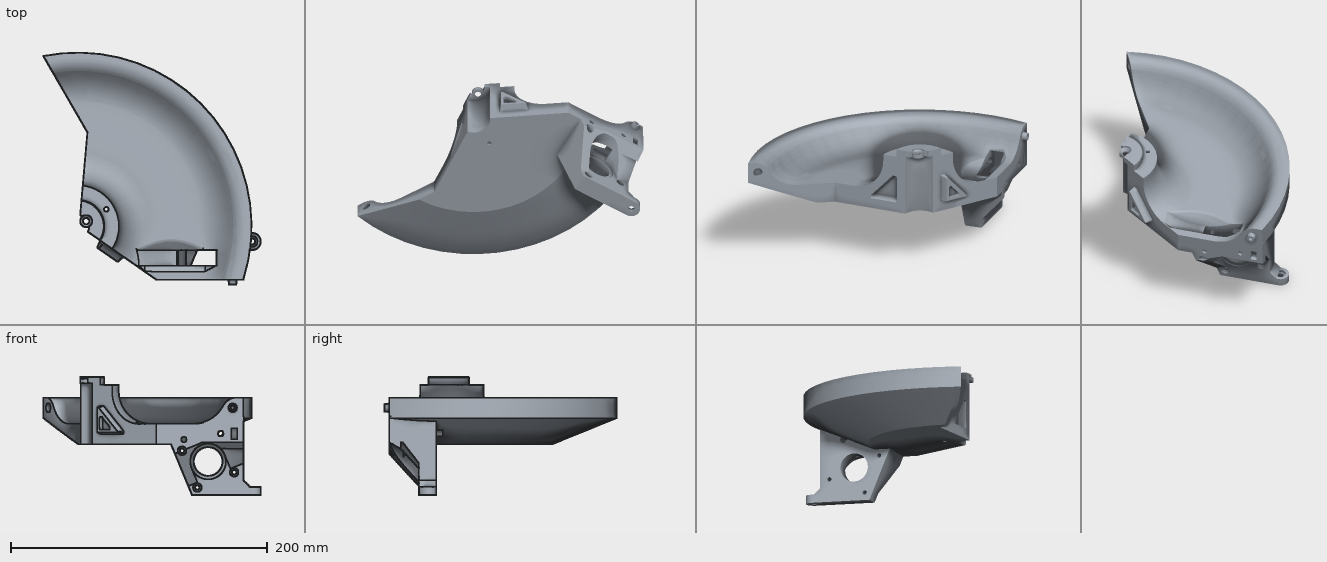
import math

import cadquery as cq

RIM_RADIUS = 135.3
RIM_HEIGHT = 36.5
RIM_WALL_BOTTOM = 20.5
BASE_RADIUS = 85.0
FLOOR_HEIGHT = 16.0
FLOOR_OUTER_RADIUS = 98.0
BOWL_FILLET = 25.0
WALL_ANGLE = math.radians(60)
LIP_FILLET = 11.0
HUB_RADIUS = 32.0
SHOULDER_HEIGHT = 46.3
HUB_TOP_RADIUS = 20.7
HUB_TOP_CHAMFER = 0.5
HUB_TOP_HEIGHT = 52.5

POCKET_FACE_ANGLE = 85.0
KEY_FACE_ANGLE = POCKET_FACE_ANGLE - 120
REAR_FACE_ANGLE = 120.0
FACE_CLEARANCE = 1.0
REAR_FACE_OFFSET = 43.0
FRONT_Y = -41.6
FAR = 400.0

BORE_RADIUS = 13.0
BORE_TOP = 47.6
OPENING_RADIUS = 8.8
SCREW_CENTRE = (6.5, 4.1)
SCREW_HEAD_RADIUS = 4.7
SCREW_HOLE_RADIUS = 2.4
SCREW_BOSS_TOP = 51.0
SHOULDER_HOLE_CENTRE = (22.2, 13.3)
SHOULDER_HOLE_RADIUS = 1.7

KEY_NEAR = 20.4
KEY_FAR = 42.8
KEY_BOTTOM = 8.1
KEY_TOP = 30.1
KEY_BLUNT_TOP = 3.5
KEY_BLUNT_FAR = 2.4
KEY_LENGTH = 5.9
KEY_DRAFT = 14.0
KEY_HOLLOW_NEAR = 24.0
KEY_HOLLOW_BOTTOM = 11.5
KEY_HOLLOW_SIZE = 12.0
KEY_HOLLOW_DEPTH = 4.5
KEY_HOLLOW_ROUNDING = 1.4
KEY_ROUNDING = 1.0

PIN_X = 120.5
PIN_Z = 28.5
PIN_RADIUS = 3.4
PIN_TIP_RADIUS = 2.9
PIN_LENGTH = 3.7
PIN_BORE_RADIUS = 1.5
SOCKET_CLEARANCE = 0.2
SOCKET_DEPTH = 4.5

BLOCK_BOTTOM = -39.5
BLOCK_BACK_Y = -4.9
PLATE_FRONT_Y = -18.5
BLOCK_RIGHT_X = 129.1
BLOCK_LEFT_OFFSET = 21.6
BLOCK_UPPER_Z = 22.0
LUG_RADIUS = 6.75
LUG_END_X = 142.4
LUG_TOP_Z = -33.0
LUG_CHAMFER = 5.0
LUG_HOLE_RADIUS = 2.3
LUG_SINK_RADIUS = 4.2
LUG_SINK_DEPTH = 2.0

MOTOR_X = 101.4
MOTOR_Z = -13.3
MOTOR_TILT = 22.5
MOTOR_HOLE_PITCH = 31.0
MOTOR_PILOT_RADIUS = 11.1
MOTOR_RECESS_RADIUS = 13.9
MOTOR_RECESS_DEPTH = 1.0
MOTOR_SCREW_RADIUS = 1.7
MOTOR_HEAD_RADIUS = 3.4
MOTOR_HEAD_SEAT_Y = -14.5
SLOPE_TOP = 15.5
SLOPE_BOTTOM = -11.8
UNDERCUT_Z = 1.5
UNDERCUT_LIP_Y = -32.5
UNDERCUT_LIP_Z = -3.5

WHEEL_X = 72.6
WHEEL_RADIUS = 46.0
WHEEL_BOTTOM = 8.6
SLOT_FRONT_Y = -30.5
SCOOP_BACK_Y = -8.0
SCOOP_EDGE_Y = -13.0
SCOOP_FILLET = 3.0
BEVEL_SECTIONS = [
    (47.0, 0.4, 15.8, 16.8),
    (52.0, 4.4, 12.2, 16.2),
    (59.2, 4.8, 11.2, 16.0),
    (91.0, 4.8, 11.2, 16.0),
    (99.0, 4.6, 12.0, 16.2),
    (106.5, 0.6, 17.0, 18.8),
]
CHAMBER_LEFT_X = 77.0
CHAMBER_RIGHT_X = 107.8
CHAMBER_FLOOR = -3.2
OPENING_FRONT_X = 88.0
OPENING_BACK_X = 92.8
OPENING_BOTTOM = -10.5
ANNEX_RIGHT_X = 119.0
ANNEX_TOP = 18.2
WALL_SLOT_CENTRE = (105.5, 9.0)
WALL_SLOT_LENGTH = 15.0
WALL_SLOT_WIDTH = 5.0

PIVOT_HOLE = (82.5, 3.8)
CLAMP_HOLE = (111.3, 8.3)
FRONT_HOLE_RADIUS = 2.1
FRONT_HOLE_END_Y = -10.0
NUT_POCKET_CENTRE = (121.8, 8.3)
NUT_POCKET_WIDTH = 4.6
NUT_POCKET_HEIGHT = 8.6
NUT_POCKET_DEPTH = 6.0


def direction(angle):
    """Unit vector in plan at an angle in degrees."""
    return math.cos(math.radians(angle)), math.sin(math.radians(angle))


def crossing(angle_a, offset_a, angle_b, offset_b):
    """Crossing of two plan lines, each shifted to its right by an offset."""
    (ax, ay), (bx, by) = direction(angle_a), direction(angle_b)
    px, py = ay * offset_a, -ax * offset_a
    qx, qy = by * offset_b, -bx * offset_b
    along = ((qx - px) * by - (qy - py) * bx) / (ax * by - ay * bx)
    return px + along * ax, py + along * ay


def y_prism(outline, y_front, y_back):
    """Extrude a closed XZ sketch (built on the XZ plane) between two Y positions."""
    return outline.extrude(-(y_back - y_front)).translate((0, y_front, 0))


def y_cylinder(centre, radius, y_front, y_back):
    return y_prism(cq.Workplane("XZ").center(*centre).circle(radius), y_front, y_back)


def box(x_range, y_range, z_range):
    corners = zip(x_range, y_range, z_range)
    low, high = [cq.Vector(*corner) for corner in corners]
    size = high - low
    return cq.Workplane(cq.Solid.makeBox(size.x, size.y, size.z, low))


def trace_bowl(profile):
    """Continue a profile from the hub axis over the hub, floor and wall to the rim's inner edge."""
    fillet_z = FLOOR_HEIGHT + BOWL_FILLET
    floor_inner = HUB_RADIUS + BOWL_FILLET
    diagonal = BOWL_FILLET * math.sqrt(0.5)
    wall_r = FLOOR_OUTER_RADIUS + BOWL_FILLET * math.sin(WALL_ANGLE)
    wall_z = fillet_z - BOWL_FILLET * math.cos(WALL_ANGLE)
    lip_z = RIM_HEIGHT - LIP_FILLET * (1 - math.cos(WALL_ANGLE))
    lip_r = wall_r + (lip_z - wall_z) / math.tan(WALL_ANGLE)
    rim_r = lip_r + LIP_FILLET * math.sin(WALL_ANGLE)
    half = WALL_ANGLE / 2
    wall_mid = (
        FLOOR_OUTER_RADIUS + BOWL_FILLET * math.sin(half),
        fillet_z - BOWL_FILLET * math.cos(half),
    )
    lip_mid = (
        rim_r - LIP_FILLET * math.sin(half),
        RIM_HEIGHT - LIP_FILLET * (1 - math.cos(half)),
    )
    return (
        profile.lineTo(HUB_TOP_RADIUS - HUB_TOP_CHAMFER, HUB_TOP_HEIGHT)
        .lineTo(HUB_TOP_RADIUS, HUB_TOP_HEIGHT - HUB_TOP_CHAMFER)
        .lineTo(HUB_TOP_RADIUS, SHOULDER_HEIGHT)
        .lineTo(HUB_RADIUS, SHOULDER_HEIGHT)
        .lineTo(HUB_RADIUS, fillet_z)
        .threePointArc(
            (floor_inner - diagonal, fillet_z - diagonal),
            (floor_inner, FLOOR_HEIGHT),
        )
        .lineTo(FLOOR_OUTER_RADIUS, FLOOR_HEIGHT)
        .threePointArc(wall_mid, (wall_r, wall_z))
        .lineTo(lip_r, lip_z)
        .threePointArc(lip_mid, (rim_r, RIM_HEIGHT))
    )


def full_dish():
    """The whole dish before it is cut to one segment."""
    profile = (
        trace_bowl(cq.Workplane("XZ").moveTo(0, HUB_TOP_HEIGHT))
        .lineTo(RIM_RADIUS, RIM_HEIGHT)
        .lineTo(RIM_RADIUS, RIM_WALL_BOTTOM)
        .lineTo(BASE_RADIUS, 0)
        .lineTo(0, 0)
        .close()
    )
    return profile.revolve(360, (0, 0), (0, 1))


def segment_prism():
    """Plan outline bounded by the four cut faces, open towards the rim."""
    apex = crossing(POCKET_FACE_ANGLE, FACE_CLEARANCE, KEY_FACE_ANGLE, -FACE_CLEARANCE)
    rear = crossing(POCKET_FACE_ANGLE, FACE_CLEARANCE, REAR_FACE_ANGLE, REAR_FACE_OFFSET)
    front = crossing(KEY_FACE_ANGLE, -FACE_CLEARANCE, 0, -FRONT_Y)
    rear_x, rear_y = direction(REAR_FACE_ANGLE)
    outline = [
        apex,
        rear,
        (rear[0] + FAR * rear_x, rear[1] + FAR * rear_y),
        (FAR, FAR),
        (FAR, FRONT_Y),
        front,
    ]
    return cq.Workplane("XY").polyline(outline).close().extrude(HUB_TOP_HEIGHT)


def cut_hub(body):
    """Stepped opening on the axis with a countersunk screw seat left in it, and a hole beside it."""
    bore = cq.Workplane("XY").circle(BORE_RADIUS).extrude(BORE_TOP)
    opening = cq.Workplane("XY").circle(OPENING_RADIUS).extrude(HUB_TOP_HEIGHT)
    seat = cq.Workplane("XY", (*SCREW_CENTRE, BORE_TOP))
    boss = seat.circle(SCREW_HEAD_RADIUS).extrude(SCREW_BOSS_TOP - BORE_TOP)
    head = cq.Workplane("XY", (*SCREW_CENTRE, SCREW_BOSS_TOP)).circle(SCREW_HEAD_RADIUS).extrude(FAR)
    sink_depth = SCREW_HEAD_RADIUS - SCREW_HOLE_RADIUS
    sink = cq.Workplane(
        cq.Solid.makeCone(
            SCREW_HOLE_RADIUS,
            SCREW_HEAD_RADIUS,
            sink_depth,
            cq.Vector(*SCREW_CENTRE, SCREW_BOSS_TOP - sink_depth),
        )
    )
    screw = seat.circle(SCREW_HOLE_RADIUS).extrude(FAR)
    shoulder = cq.Workplane("XY").center(*SHOULDER_HOLE_CENTRE)
    side_hole = shoulder.circle(SHOULDER_HOLE_RADIUS).extrude(FAR)
    return body.cut(bore).cut(opening).union(boss).cut(head).cut(sink).cut(screw).cut(side_hole)


def face_plane(angle, offset):
    """Upright plane on an inner cut face; local x runs outwards from the axis, local y is Z."""
    along_x, along_y = direction(angle)
    origin = (along_y * offset, -along_x * offset, 0)
    return cq.Plane(origin, (along_x, along_y, 0), (along_y, -along_x, 0))


def key_prism(plane):
    """Drafted triangle with blunt, rounded corners, standing outwards from a plane."""
    points = [
        (KEY_NEAR, KEY_BOTTOM),
        (KEY_FAR, KEY_BOTTOM),
        (KEY_FAR, KEY_BOTTOM + KEY_BLUNT_FAR),
        (KEY_NEAR + KEY_BLUNT_TOP, KEY_TOP),
        (KEY_NEAR, KEY_TOP),
        (KEY_NEAR, KEY_BOTTOM),
    ]
    outline = cq.Sketch().polygon(points).vertices().fillet(KEY_ROUNDING)
    return cq.Workplane(plane).placeSketch(outline).extrude(KEY_LENGTH, taper=KEY_DRAFT)


def add_key_and_pocket(body):
    pocket = key_prism(face_plane(POCKET_FACE_ANGLE, FACE_CLEARANCE))
    key_plane = face_plane(KEY_FACE_ANGLE, -FACE_CLEARANCE)
    key = key_prism(key_plane)
    hollow_points = [
        (KEY_HOLLOW_NEAR, KEY_HOLLOW_BOTTOM),
        (KEY_HOLLOW_NEAR + KEY_HOLLOW_SIZE, KEY_HOLLOW_BOTTOM),
        (KEY_HOLLOW_NEAR, KEY_HOLLOW_BOTTOM + KEY_HOLLOW_SIZE),
        (KEY_HOLLOW_NEAR, KEY_HOLLOW_BOTTOM),
    ]
    hollow_outline = cq.Sketch().polygon(hollow_points).vertices().fillet(KEY_HOLLOW_ROUNDING)
    hollow = (
        cq.Workplane(key_plane)
        .workplane(offset=KEY_LENGTH - KEY_HOLLOW_DEPTH)
        .placeSketch(hollow_outline)
        .extrude(KEY_HOLLOW_DEPTH)
    )
    return body.cut(pocket).union(key).cut(hollow)


def add_pin_and_socket(body):
    pin_base = cq.Vector(PIN_X, FRONT_Y, PIN_Z)
    pin = cq.Workplane(
        cq.Solid.makeCone(PIN_RADIUS, PIN_TIP_RADIUS, PIN_LENGTH, pin_base, cq.Vector(0, -1, 0))
    )
    pin_bore = y_cylinder((PIN_X, PIN_Z), PIN_BORE_RADIUS, FRONT_Y - PIN_LENGTH, FRONT_Y)
    rear_x, rear_y = direction(REAR_FACE_ANGLE)
    face_x, face_y = rear_y * REAR_FACE_OFFSET, -rear_x * REAR_FACE_OFFSET
    socket = cq.Solid.makeCylinder(
        PIN_RADIUS + SOCKET_CLEARANCE,
        SOCKET_DEPTH,
        cq.Vector(face_x + PIN_X * rear_x, face_y + PIN_X * rear_y, PIN_Z),
        cq.Vector(rear_y, -rear_x, 0),
    )
    return body.union(pin).cut(pin_bore).cut(cq.Workplane(socket))


def turned(body):
    """Turn a body drawn on the motor axis at the origin to its place and tilt."""
    return body.rotate((0, 0, 0), (0, 1, 0), -MOTOR_TILT).translate((MOTOR_X, 0, MOTOR_Z))


def block_left_x(z):
    """X of the block's left side, which leans by the motor tilt, at a height."""
    cos_t, sin_t = direction(MOTOR_TILT)
    return MOTOR_X - (BLOCK_LEFT_OFFSET + (z - MOTOR_Z) * sin_t) / cos_t


def motor_block():
    """Block under the dish with its sloping front and the drilled lug at its lower corner."""
    outline = [
        (block_left_x(0), 0),
        (block_left_x(BLOCK_BOTTOM), BLOCK_BOTTOM),
        (BLOCK_RIGHT_X, BLOCK_BOTTOM),
        (BLOCK_RIGHT_X, BLOCK_UPPER_Z),
        (block_left_x(0), BLOCK_UPPER_Z),
    ]
    block = y_prism(cq.Workplane("XZ").polyline(outline).close(), FRONT_Y, BLOCK_BACK_Y)

    slope_outline = [
        (FRONT_Y, SLOPE_TOP),
        (PLATE_FRONT_Y, SLOPE_BOTTOM),
        (PLATE_FRONT_Y, -FAR),
        (FRONT_Y - FAR, -FAR),
        (FRONT_Y - FAR, SLOPE_TOP),
    ]
    slope = turned(cq.Workplane("YZ").polyline(slope_outline).close().extrude(FAR, both=True))
    undercut_outline = [
        (FRONT_Y, UNDERCUT_Z),
        (UNDERCUT_LIP_Y, UNDERCUT_LIP_Z),
        (UNDERCUT_LIP_Y, UNDERCUT_Z),
        (PLATE_FRONT_Y, UNDERCUT_Z),
        (PLATE_FRONT_Y, -FAR),
        (FRONT_Y, -FAR),
    ]
    undercut = cq.Workplane("YZ").polyline(undercut_outline).close().extrude(FAR)
    block = block.cut(slope.intersect(undercut))

    lug_y = PLATE_FRONT_Y + LUG_RADIUS
    lug_x = LUG_END_X - LUG_RADIUS
    web_outline = [
        (BLOCK_RIGHT_X, BLOCK_BOTTOM),
        (lug_x, BLOCK_BOTTOM),
        (lug_x, LUG_TOP_Z),
        (BLOCK_RIGHT_X + LUG_CHAMFER, LUG_TOP_Z),
        (BLOCK_RIGHT_X, LUG_TOP_Z + LUG_CHAMFER),
    ]
    web = y_prism(cq.Workplane("XZ").polyline(web_outline).close(), PLATE_FRONT_Y, lug_y + LUG_RADIUS)
    lug_top = cq.Workplane("XY", (lug_x, lug_y, LUG_TOP_Z))
    lug = lug_top.circle(LUG_RADIUS).extrude(BLOCK_BOTTOM - LUG_TOP_Z)
    hole = lug_top.circle(LUG_HOLE_RADIUS).extrude(BLOCK_BOTTOM - LUG_TOP_Z)
    sink = lug_top.circle(LUG_SINK_RADIUS).extrude(-LUG_SINK_DEPTH)
    return block.union(web).union(lug).cut(hole).cut(sink)


def cut_motor_mount(body):
    slot = turned(
        box(
            (-MOTOR_RECESS_RADIUS, MOTOR_RECESS_RADIUS),
            (FRONT_Y, PLATE_FRONT_Y),
            (-FAR, 0),
        )
    )
    axis = (MOTOR_X, MOTOR_Z)
    recess = y_cylinder(axis, MOTOR_RECESS_RADIUS, FRONT_Y, PLATE_FRONT_Y + MOTOR_RECESS_DEPTH)
    pilot = y_cylinder(axis, MOTOR_PILOT_RADIUS, FRONT_Y, BLOCK_BACK_Y)
    body = body.cut(slot).cut(recess).cut(pilot)
    half_pitch = MOTOR_HOLE_PITCH / 2
    for side_x, side_z in [(-1, 1), (-1, -1), (1, -1)]:
        centre = (side_x * half_pitch, side_z * half_pitch)
        head = y_cylinder(centre, MOTOR_HEAD_RADIUS, FRONT_Y, MOTOR_HEAD_SEAT_Y)
        screw = y_cylinder(centre, MOTOR_SCREW_RADIUS, FRONT_Y, BLOCK_BACK_Y)
        body = body.cut(turned(head.union(screw)))
    return body


def bowl_void():
    """The space above the hub, floor and wall of the dish."""
    profile = (
        trace_bowl(cq.Workplane("XZ").moveTo(0, HUB_TOP_HEIGHT))
        .lineTo(RIM_RADIUS, RIM_HEIGHT)
        .lineTo(RIM_RADIUS, FAR)
        .lineTo(0, FAR)
        .close()
    )
    return profile.revolve(360, (0, 0), (0, 1))


def cut_window(body):
    """Wheel scoop with its front bevel, and the straight chamber beside it."""
    wheel_z = WHEEL_BOTTOM + WHEEL_RADIUS
    scoop = (
        cq.Workplane("XY")
        .moveTo(0, SLOT_FRONT_Y)
        .lineTo(WHEEL_RADIUS, SLOT_FRONT_Y)
        .lineTo(WHEEL_RADIUS, PLATE_FRONT_Y)
        .lineTo(WHEEL_RADIUS - (SCOOP_BACK_Y - PLATE_FRONT_Y), SCOOP_BACK_Y)
        .lineTo(0, SCOOP_BACK_Y)
        .close()
        .revolve(360, (0, 0), (0, 1))
        .translate((WHEEL_X, 0, wheel_z))
    )
    reach = box((0, CHAMBER_RIGHT_X), (SLOT_FRONT_Y, SCOOP_BACK_Y), (0, SHOULDER_HEIGHT))
    bevel_wires = []
    for x, width, bottom, top in BEVEL_SECTIONS:
        corners = [
            cq.Vector(x, SLOT_FRONT_Y - width, top),
            cq.Vector(x, SLOT_FRONT_Y, bottom),
            cq.Vector(x, SLOT_FRONT_Y, SHOULDER_HEIGHT),
            cq.Vector(x, SLOT_FRONT_Y - width, SHOULDER_HEIGHT),
        ]
        bevel_wires.append(cq.Wire.makePolygon(corners, close=True))
    bevel = cq.Workplane(cq.Solid.makeLoft(bevel_wires, True))
    slot_y = (SLOT_FRONT_Y, PLATE_FRONT_Y)
    chamber = box((CHAMBER_LEFT_X, CHAMBER_RIGHT_X), slot_y, (CHAMBER_FLOOR, RIM_HEIGHT))
    annex = box((CHAMBER_LEFT_X, ANNEX_RIGHT_X), slot_y, (UNDERCUT_Z, ANNEX_TOP))
    opening_outline = [
        (OPENING_FRONT_X, SLOT_FRONT_Y),
        (CHAMBER_RIGHT_X, SLOT_FRONT_Y),
        (CHAMBER_RIGHT_X, PLATE_FRONT_Y),
        (OPENING_BACK_X, PLATE_FRONT_Y),
    ]
    opening = (
        cq.Workplane("XY", (0, 0, OPENING_BOTTOM))
        .polyline(opening_outline)
        .close()
        .extrude(CHAMBER_FLOOR - OPENING_BOTTOM)
    )
    wall_slot = (
        cq.Workplane("XZ")
        .center(*WALL_SLOT_CENTRE)
        .slot2D(WALL_SLOT_LENGTH, WALL_SLOT_WIDTH)
    )
    body = body.cut(scoop.intersect(reach))
    floor_edge = cq.NearestToPointSelector((WHEEL_X, SCOOP_EDGE_Y, FLOOR_HEIGHT))
    body = body.edges(floor_edge).fillet(SCOOP_FILLET)
    body = body.cut(bevel).cut(chamber).cut(annex).cut(opening)
    return body.cut(y_prism(wall_slot, PLATE_FRONT_Y, 0))


def cut_front_holes(body):
    for centre in (PIVOT_HOLE, CLAMP_HOLE):
        body = body.cut(y_cylinder(centre, FRONT_HOLE_RADIUS, FRONT_Y, FRONT_HOLE_END_Y))
    nut = cq.Workplane("XZ").center(*NUT_POCKET_CENTRE).rect(NUT_POCKET_WIDTH, NUT_POCKET_HEIGHT)
    return body.cut(y_prism(nut, FRONT_Y, FRONT_Y + NUT_POCKET_DEPTH))


body = full_dish().intersect(segment_prism())
body = body.union(motor_block().cut(bowl_void()))
body = cut_hub(body)
body = add_key_and_pocket(body)
body = add_pin_and_socket(body)
body = cut_motor_mount(body)
body = cut_window(body)
result = cut_front_holes(body)